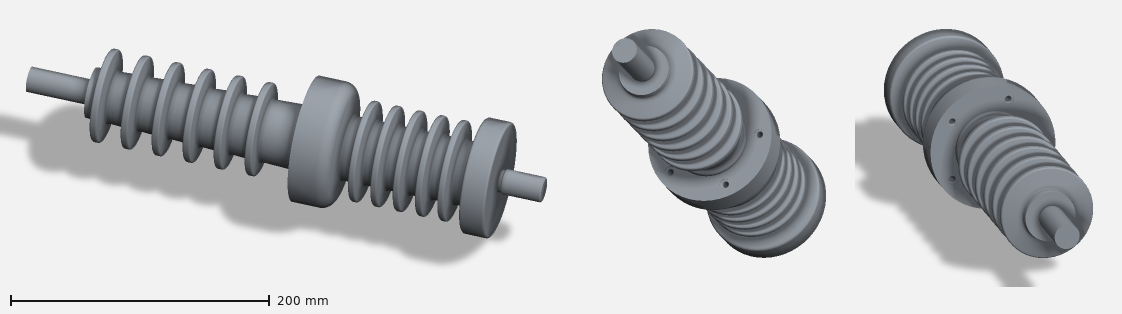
import cadquery as cq
import math


core_left_x = -173.0
core_right_x = 157.0
rod_left_length = 50.0
rod_right_length = 35.0
rod_left_x = core_left_x - rod_left_length
rod_right_x = core_right_x + rod_right_length

rod_radius = 10.0
rod_neck_radius = 9.0
rod_neck_gap = 2.5
rod_chamfer = rod_radius - rod_neck_radius

core_tip_radius = 20.0
core_flange_radius = 26.0
core_radius = 25.5

flank_slope = math.tan(math.radians(10.0))
root_fillet = 2.0
tip_fillet = 1.5

left_shed_radius = 37.0
left_shed_tip_width = 5.3
left_shed_count = 6
left_shed_pitch = 25.0
left_shed_first_x = core_left_x + 12.0

right_shed_radius = 40.0
right_shed_tip_width = 4.7
right_shed_count = 5
right_shed_pitch = 18.0
right_shed_first_x = 48.0

flange_radius = 50.0
flange_rim_width = 30.0
flange_fillet = 10.0
shoulder_radius = 30.0
shoulder_width = 3.0
shoulder_fillet = 2.0
disc_radius = 46.0
disc_rim_width = 20.0
disc_fillet = 2.0

insert_count = 5
insert_circle_radius = 40.0
insert_radius = 6.0
insert_length = 15.0
insert_recess_radius = 4.5
insert_recess_depth = 0.5
insert_countersink_radius = 3.0
insert_bore_radius = 4.92 / 2
insert_bore_depth = 12.0
drill_tip_half_angle = math.radians(59.0)


def revolve_profile(points):
    """Revolve (x, radius) points, closed along the axis, into a solid around the X axis."""
    return cq.Workplane("XY").polyline(points).close().revolve(360, (0, 0, 0), (1, 0, 0))


def rounded_path(corners):
    """Draw an open path through (x, radius, fillet) corners, with an arc at each filleted corner."""
    path = cq.Workplane("XY").moveTo(corners[0][0], corners[0][1])
    for before, corner, after in zip(corners, corners[1:], corners[2:]):
        point = cq.Vector(corner[0], corner[1])
        fillet = corner[2]
        if fillet == 0:
            path = path.lineTo(point.x, point.y)
            continue
        to_before = (cq.Vector(before[0], before[1]) - point).normalized()
        to_after = (cq.Vector(after[0], after[1]) - point).normalized()
        half_angle = to_before.getAngle(to_after) / 2
        setback = fillet / math.tan(half_angle)
        bisector = (to_before + to_after).normalized()
        arc_start = point + to_before * setback
        arc_middle = point + bisector * (fillet / math.sin(half_angle) - fillet)
        arc_end = point + to_after * setback
        path = path.lineTo(arc_start.x, arc_start.y)
        path = path.threePointArc((arc_middle.x, arc_middle.y), (arc_end.x, arc_end.y))
    return path.lineTo(corners[-1][0], corners[-1][1])


def tapered_core_radius(x):
    """Radius of the tapered left core, which widens evenly up to the flange face."""
    return core_tip_radius + (core_flange_radius - core_tip_radius) * (x - core_left_x) / -core_left_x


def shed_corners(center_x, shed_radius, tip_width, root_radius):
    """Four corners of one shed: left root, both tip corners and right root."""
    half_tip = tip_width / 2
    half_root = half_tip + (shed_radius - root_radius) * flank_slope
    return [
        (center_x - half_root, root_radius, root_fillet),
        (center_x - half_tip, shed_radius, tip_fillet),
        (center_x + half_tip, shed_radius, tip_fillet),
        (center_x + half_root, root_radius, root_fillet),
    ]


def insulator_corners():
    """Outer outline of the insulator, from its left end on the axis to its right end."""
    corners = [(core_left_x, 0, 0), (core_left_x, core_tip_radius, 0)]
    for index in range(left_shed_count):
        x = left_shed_first_x + index * left_shed_pitch
        corners += shed_corners(x, left_shed_radius, left_shed_tip_width, tapered_core_radius(x))

    corners += [
        (-shoulder_width, tapered_core_radius(-shoulder_width), shoulder_fillet),
        (-shoulder_width, shoulder_radius, shoulder_fillet),
        (0, shoulder_radius, 0),
        (0, flange_radius, 0),
        (flange_rim_width, flange_radius, flange_fillet),
        (flange_rim_width + (flange_radius - core_radius) * flank_slope, core_radius, root_fillet),
    ]
    for index in range(right_shed_count):
        x = right_shed_first_x + index * right_shed_pitch
        corners += shed_corners(x, right_shed_radius, right_shed_tip_width, core_radius)

    disc_left_x = core_right_x - disc_rim_width
    corners += [
        (disc_left_x - (disc_radius - core_radius) * flank_slope, core_radius, root_fillet),
        (disc_left_x, disc_radius, disc_fillet),
        (core_right_x, disc_radius, disc_fillet),
        (core_right_x, 0, 0),
    ]
    return corners


def make_rod():
    """Conductor rod: two full-size ends joined by a thinner length held in the insulator."""
    left_neck_x = core_left_x - rod_neck_gap
    right_neck_x = core_right_x + rod_neck_gap
    return revolve_profile([
        (rod_left_x, 0),
        (rod_left_x, rod_radius),
        (left_neck_x - rod_chamfer, rod_radius),
        (left_neck_x, rod_neck_radius),
        (right_neck_x, rod_neck_radius),
        (right_neck_x + rod_chamfer, rod_radius),
        (rod_right_x - rod_chamfer, rod_radius),
        (rod_right_x, rod_neck_radius),
        (rod_right_x, 0),
    ])


def placed_in_flange(body, index):
    """Move a body from the part axis to its place on the insert circle."""
    angle = index * 360.0 / insert_count
    return body.translate((0, -insert_circle_radius, 0)).rotate((0, 0, 0), (1, 0, 0), angle)


def make_insert(index):
    """Threaded insert, flush with the flange face, with a countersunk blind bore in a shallow recess."""
    countersink_depth = insert_countersink_radius - insert_bore_radius
    drill_tip_length = insert_bore_radius / math.tan(drill_tip_half_angle)
    profile = [
        (insert_bore_depth + drill_tip_length, 0),
        (insert_bore_depth, insert_bore_radius),
        (insert_recess_depth + countersink_depth, insert_bore_radius),
        (insert_recess_depth, insert_countersink_radius),
        (insert_recess_depth, insert_recess_radius),
        (0, insert_recess_radius),
        (0, insert_radius),
        (insert_length, insert_radius),
        (insert_length, 0),
    ]
    return placed_in_flange(revolve_profile(profile), index)


def make_insert_pocket(index):
    """Filled envelope of one insert, used to cut its pocket in the flange."""
    envelope = cq.Workplane("YZ").circle(insert_radius).extrude(insert_length)
    return placed_in_flange(envelope, index)


def make_insulator():
    """Insulator with sheds, flange and end disc, bored for the rod and pocketed for the inserts."""
    body = rounded_path(insulator_corners()).close().revolve(360, (0, 0, 0), (1, 0, 0))
    rod_bore = (
        cq.Workplane("YZ", origin=(core_left_x, 0, 0))
        .circle(rod_neck_radius)
        .extrude(core_right_x - core_left_x)
    )
    body = body.cut(rod_bore)
    for index in range(insert_count):
        body = body.cut(make_insert_pocket(index))
    return body


insulator = make_insulator()
rod = make_rod()
inserts = [make_insert(index) for index in range(insert_count)]

result = cq.Compound.makeCompound([
    insulator.val(),
    rod.val(),
    *[insert.val() for insert in inserts],
])